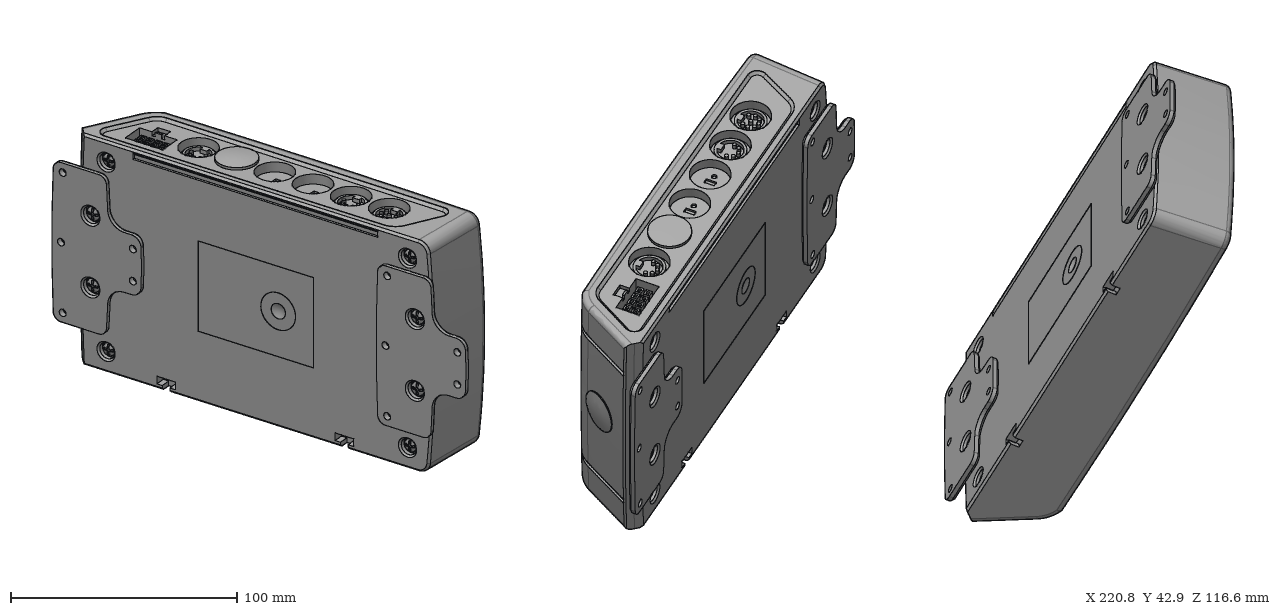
import cadquery as cq
import math

total_length = 220.79
total_depth = 42.88
total_height = 116.57
cap_rise = 0.57

case_half_height = (total_height - cap_rise) / 2
front_y = 3.1
nose_x = -101.6
nose_y = 10.1
nose_land = 1.2
under_nose = (-99.2, 6.2)
front_left_x = -96.4
slant_top = (-88.0, 34.2)
shoulder_mid = (-81.9, 40.4)
back_left = (-73.4, total_depth)
back_crown_x = -18.0
back_crown_radius = 3300.0
left_bulge_radius = 1250.0
right_bulge_radius = 540.0
right_front_x = 91.2
right_back_x = 94.6
corner_radius = 6.0
back_edge_radius = 3.0
front_edge_chamfer = 1.1
sweep_angle = 30.0

groove_z = 39.8
groove_width = 2.2
groove_depth = 1.2

plate_thickness = 3.2
plate_chamfer = 1.2
plate_z = 2.1
plate_half_height = 40.0
plate_pitch = 173.0
plate_left_x = -total_length / 2
plate_end_x = plate_left_x + 0.9
plate_shoulder_x = -81.4
plate_neck_x = -80.6
plate_tab_x = plate_left_x + total_length - plate_pitch
plate_tab_end_x = plate_tab_x - 0.5
tab_half_height = 15.0
neck_radius = 9.0
plate_corner_radius = 4.2
tab_corner_radius = 5.0
corner_reach = 1.0
plate_hole_diameter = 3.6
plate_holes = [(-104.6, 35.2), (-104.6, -35.2), (-105.5, 0.0), (-67.2, 8.05), (-67.2, -8.05)]
plate_screw_x = -89.8
plate_screw_offset = 18.0
plate_screw_diameter = 10.2

case_screw_xs = (-83.5, 77.2)
case_screw_z = 47.5
case_screw_diameter = 9.7
screw_seat_depth = 3.0
screw_bevel = 0.9
screw_head_height = 1.6
screw_head_clearance = 1.5
screw_cross_width = 1.0

label_x_range = (-34.4, 27.1)
label_height = 45.3
label_depth = 0.15
dimple_x = 8.1
dimple_ring_diameter = 18.5
dimple_diameter = 7.6
dimple_depth = 0.9

slit_x_range = (-69.2, 61.2)
slit_z_range = (53.2, 56.3)
slit_depth = 1.2

keyhole_xs = (-51.5, 43.5)
keyhole_width = 9.8
keyhole_top_z = -51.8
keyhole_neck_z = -55.6
keyhole_neck_width = 4.0
keyhole_depth = 5.0

recess_depth = 1.5
recess_lip = 0.1
recess_slope = 1.3
recess_corners = [
    (-94.9, 7.0, 4.6),
    (67.5, 7.0, 9.3),
    (82.7, 35.2, 4.6),
    (-78.0, 36.3, 8.0),
]
recess_floor_z = case_half_height - recess_depth

port_y = 23.4
port_pitch = 20.33
first_port_x = -47.85
port_diameter = 18.4
port_depth = 5.0
port_floor_z = recess_floor_z - port_depth
shroud_outer_diameter = 14.6
shroud_inner_diameter = 12.0
shroud_height = 2.0
shroud_key_width = 3.6
shroud_key_length = 2.2
pin_diameter = 1.8
pin_circle_radius = 3.9
five_pin_angles = (180, 225, 270, 315, 360)
eight_pin_angles = (39, 141, 186, 231, 270, 309, 354)
contact_size = (2.4, 5.0)
contact_depth = 1.0
side_contact_offset = 4.0
side_contact_diameter = 2.4

cap_diameter = 19.6
cap_dome_rise = 0.8

plug_x = -69.8
plug_y = 18.45
plug_width = 20.0
plug_height = 11.3
plug_depth = 8.0
plug_sleeve = 3.0
plug_sleeve_height = 6.0
plug_contact = 1.3
plug_pitch = 4.1
plug_columns = 4
plug_rows = 2
latch_width = 6.7
latch_height = 4.7
latch_depth = 2.0
latch_nub_width = 3.6
latch_nub_height = 1.0

button_diameter = 20.0
button_y = 26.0
button_z = 2.1
button_wall = 0.5
button_dome = 1.0
button_root = 3.0


def box(x_range, y_range, z_range):
    """Box between two limits on each axis."""
    size = [max(r) - min(r) for r in (x_range, y_range, z_range)]
    return cq.Workplane("XY").box(*size, centered=False).translate(
        (min(x_range), min(y_range), min(z_range)))


def front_cylinder(x, z, diameter, y_start, depth):
    """Cylinder that runs into the case (+Y) from y_start."""
    solid = cq.Solid.makeCylinder(diameter / 2, depth, cq.Vector(x, y_start, z), cq.Vector(0, 1, 0))
    return cq.Workplane(solid)


def top_cylinder(x, y, diameter, z_start, height):
    """Upright cylinder."""
    solid = cq.Solid.makeCylinder(diameter / 2, height, cq.Vector(x, y, z_start), cq.Vector(0, 0, 1))
    return cq.Workplane(solid)


def domed_disc(diameter, wall, rise):
    """Disc with a straight wall and a spherical top, standing on the origin along +Z."""
    radius = diameter / 2
    mid_radius = radius / 2
    sphere_radius = (radius**2 + rise**2) / (2 * rise)
    mid_height = wall + rise - sphere_radius + math.sqrt(sphere_radius**2 - mid_radius**2)
    return (
        cq.Workplane("XZ")
        .lineTo(radius, 0)
        .lineTo(radius, wall)
        .threePointArc((mid_radius, mid_height), (0, wall + rise))
        .close()
        .revolve(360, (0, 0), (0, 1))
    )


def bulged(profile, axis_x):
    """Sweep a profile in the XY plane round an axis parallel to Y, to both sides of Z = 0."""
    swept = profile.revolve(sweep_angle, (axis_x, 0), (axis_x, 1))
    return swept.rotate((axis_x, 0, 0), (axis_x, 1, 0), -sweep_angle / 2)


def left_profile():
    """Side outline of the case, running well past its right end."""
    far_x = right_back_x + corner_radius
    far_y = total_depth + corner_radius
    return (
        cq.Workplane("XY")
        .moveTo(far_x, front_y)
        .lineTo(front_left_x, front_y)
        .lineTo(*under_nose)
        .lineTo(nose_x, nose_y - nose_land)
        .lineTo(nose_x, nose_y)
        .lineTo(*slant_top)
        .threePointArc(shoulder_mid, back_left)
        .lineTo(back_left[0], far_y)
        .lineTo(far_x, far_y)
    )


def make_case():
    left = bulged(left_profile().close(), nose_x + left_bulge_radius)
    far_left_x = nose_x - corner_radius
    far_y = total_depth + corner_radius
    lean = (right_back_x - right_front_x) / (total_depth - front_y)
    right_profile = cq.Workplane("XY").polyline([
        (far_left_x, front_y),
        (right_front_x, front_y),
        (right_front_x + lean * (far_y - front_y), far_y),
        (far_left_x, far_y),
    ]).close()
    right = bulged(right_profile, right_back_x - right_bulge_radius)
    slab = box(
        (far_left_x, right_back_x + corner_radius),
        (0, far_y),
        (-case_half_height, case_half_height),
    )
    crown = cq.Workplane("XY").sphere(back_crown_radius).translate(
        (back_crown_x, total_depth - back_crown_radius, 0))
    case = slab.intersect(left).intersect(right).intersect(crown)
    case = round_case_edges(case)
    for sign in (1, -1):
        case = case.cut(make_groove(sign * groove_z))
    return case


def edges_between(x_range, y_range, z_range):
    """Selector for the edges whose centre lies within the given limits."""
    low, high = zip(x_range, y_range, z_range)
    return cq.selectors.BoxSelector(low, high)


def round_case_edges(case):
    """Round the right corners and the back rim, then bevel the front rim."""
    margin = 0.2
    full_x = (-total_length, total_length)
    full_z = (-total_height, total_height)
    right_x = (right_front_x - corner_radius, total_length)
    behind_nose = (nose_y + margin, total_depth)
    case = case.edges(edges_between(right_x, (nose_y, slant_top[1]), full_z)).fillet(corner_radius)

    top_z = (case_half_height - margin, case_half_height + margin)
    bottom_z = (-top_z[1], -top_z[0])
    back_rim = (
        edges_between(full_x, behind_nose, top_z)
        + edges_between(full_x, behind_nose, bottom_z)
        + edges_between(right_x, (total_depth - back_edge_radius, total_depth), full_z)
    )
    case = case.edges(back_rim).fillet(back_edge_radius)

    right_of_undercut = (front_left_x + corner_radius, total_length)
    front_rim = edges_between(right_of_undercut, (front_y - margin, front_y + margin), full_z)
    return case.edges(front_rim).chamfer(front_edge_chamfer)


def make_groove(z):
    """Cutter for one groove that follows the slanted left face and its shoulder."""
    z_range = (z - groove_width / 2, z + groove_width / 2)
    band = box((nose_x - corner_radius, back_left[0]), (nose_y, total_depth), z_range)
    core = bulged(left_profile().close(), nose_x + left_bulge_radius)
    return band.cut(core.translate((groove_depth, -groove_depth / 2, 0)))


def sink_screw(body, x, z, diameter, seat_y):
    """Sink a bevelled screw hole from seat_y and leave a cross-slotted screw head at its bottom."""
    inner_diameter = diameter - 2 * screw_bevel
    head_diameter = inner_diameter - screw_head_clearance
    bevel = cq.Solid.makeCone(
        diameter / 2, inner_diameter / 2, screw_bevel, cq.Vector(x, seat_y, z), cq.Vector(0, 1, 0))
    hole = front_cylinder(x, z, inner_diameter, seat_y, screw_seat_depth).union(cq.Workplane(bevel))
    head = domed_disc(head_diameter, screw_head_height / 2, screw_head_height / 2)
    half_cross = head_diameter / 2 - screw_head_clearance / 2
    half_slot = screw_cross_width / 2
    slot_z_range = (screw_head_height / 2, screw_head_height)
    head = head.cut(box((-half_cross, half_cross), (-half_slot, half_slot), slot_z_range))
    head = head.cut(box((-half_slot, half_slot), (-half_cross, half_cross), slot_z_range))
    head = head.rotate((0, 0, 0), (1, 0, 0), 90)
    return body.cut(hole.cut(head.translate((x, seat_y + screw_seat_depth, z))))


def sink_case_screws(body):
    for x in case_screw_xs:
        for z in (case_screw_z, -case_screw_z):
            body = sink_screw(body, x, z, case_screw_diameter, front_y)
    return body


def make_plate():
    """Left mounting plate: a tall web with a tab to the right, both with slightly bowed ends."""
    neck_x = plate_neck_x + neck_radius
    neck_z = tab_half_height + neck_radius
    bend = neck_radius * (1 - math.sqrt(0.5))
    outline = (
        cq.Workplane("XZ", origin=(0, plate_thickness, plate_z))
        .moveTo(plate_end_x, -plate_half_height)
        .threePointArc((plate_left_x, 0), (plate_end_x, plate_half_height))
        .lineTo(plate_shoulder_x, plate_half_height)
        .lineTo(plate_neck_x, neck_z)
        .threePointArc((plate_neck_x + bend, tab_half_height + bend), (neck_x, tab_half_height))
        .lineTo(plate_tab_end_x, tab_half_height)
        .threePointArc((plate_tab_x, 0), (plate_tab_end_x, -tab_half_height))
        .lineTo(neck_x, -tab_half_height)
        .threePointArc((plate_neck_x + bend, -tab_half_height - bend), (plate_neck_x, -neck_z))
        .lineTo(plate_shoulder_x, -plate_half_height)
        .close()
    )
    plate = outline.extrude(plate_thickness)
    neck_middle = (plate_neck_x + plate_tab_end_x) / 2
    web_x = (plate_left_x, plate_neck_x)
    tab_x = (neck_middle, plate_tab_x)
    full_y = (0, plate_thickness)
    for x_range, radius, z_reach in (
        (web_x, plate_corner_radius, plate_half_height),
        (tab_x, tab_corner_radius, tab_half_height),
    ):
        for sign in (1, -1):
            z = plate_z + sign * z_reach
            corners = edges_between(x_range, full_y, (z - corner_reach, z + corner_reach))
            plate = plate.edges("|Y").edges(corners).fillet(radius)
    plate = plate.faces(">Y").edges().chamfer(plate_chamfer)
    for x, z_offset in plate_holes:
        hole = front_cylinder(x, plate_z + z_offset, plate_hole_diameter, 0, plate_thickness)
        plate = plate.cut(hole)
    return plate


def add_plates(body):
    for shift in (0, plate_pitch):
        body = body.union(make_plate().translate((shift, 0, 0)))
        for sign in (1, -1):
            screw_z = plate_z + sign * plate_screw_offset
            body = sink_screw(body, plate_screw_x + shift, screw_z, plate_screw_diameter, 0)
    return body


def cut_label(body):
    """Shallow label panel with a ring and a dimple."""
    label_y = front_y + label_depth
    body = body.cut(box(label_x_range, (0, label_y), (-label_height / 2, label_height / 2)))
    body = body.cut(front_cylinder(dimple_x, 0, dimple_ring_diameter, label_y, label_depth))
    dimple = domed_disc(dimple_diameter, label_depth, dimple_depth).rotate((0, 0, 0), (1, 0, 0), -90)
    return body.cut(dimple.translate((dimple_x, label_y + label_depth / 2, 0)))


def cut_slit(body):
    """Long slit near the top edge of the front face, with a sloping upper wall."""
    low_z, high_z = slit_z_range
    profile = cq.Workplane("YZ", origin=(slit_x_range[0], 0, 0)).polyline([
        (front_y, low_z),
        (front_y + slit_depth, low_z),
        (front_y + slit_depth, high_z - slit_depth),
        (front_y, high_z),
    ]).close()
    return body.cut(profile.extrude(slit_x_range[1] - slit_x_range[0]))


def cut_keyholes(body):
    """T-shaped hanging slots, open at the bottom edge."""
    y_range = (0, front_y + keyhole_depth)
    for x in keyhole_xs:
        for width, z_range in (
            (keyhole_width, (keyhole_neck_z, keyhole_top_z)),
            (keyhole_neck_width, (-total_height, keyhole_top_z)),
        ):
            body = body.cut(box((x - width / 2, x + width / 2), y_range, z_range))
    return body


def cut_recess(body):
    """Shallow tray with sloping walls round all connectors."""
    points = [(x, y) for x, y, _ in recess_corners]
    tray = (
        cq.Workplane("XY", origin=(0, 0, recess_floor_z))
        .polyline(points).close().extrude(recess_depth)
    )
    for x, y, radius in recess_corners:
        corner = edges_between(
            (x - corner_reach, x + corner_reach),
            (y - corner_reach, y + corner_reach),
            (0, total_height),
        )
        tray = tray.edges("|Z").edges(corner).fillet(radius)
    tray = tray.faces("<Z").chamfer(recess_depth - recess_lip, recess_slope)
    return body.cut(tray)


def port_x(index):
    return first_port_x + index * port_pitch


def port_bore(index):
    return top_cylinder(port_x(index), port_y, port_diameter, port_floor_z, port_depth)


def pins_on_circle(angles):
    return [
        (pin_circle_radius * math.cos(math.radians(a)), pin_circle_radius * math.sin(math.radians(a)))
        for a in angles
    ]


def cut_round_socket(body, index, pin_points):
    """Bored port with a keyed shroud and contact pins on its floor."""
    x = port_x(index)
    shroud = top_cylinder(x, port_y, shroud_outer_diameter, port_floor_z, shroud_height)
    shroud = shroud.cut(top_cylinder(x, port_y, shroud_inner_diameter, port_floor_z, shroud_height))
    key_root_y = port_y + (shroud_inner_diameter + shroud_outer_diameter) / 4
    key = box(
        (x - shroud_key_width / 2, x + shroud_key_width / 2),
        (port_y + shroud_inner_diameter / 2 - shroud_key_length, key_root_y),
        (port_floor_z, port_floor_z + shroud_height),
    )
    pins = (
        cq.Workplane("XY", origin=(x, port_y, port_floor_z))
        .pushPoints(pin_points)
        .circle(pin_diameter / 2)
        .extrude(shroud_height)
    )
    return body.cut(port_bore(index).cut(shroud.union(key)).cut(pins))


def cut_contact_port(body, index):
    """Bored port whose floor has a flat contact slot and a small round socket beside it."""
    x = port_x(index)
    contact_floor = port_floor_z - contact_depth
    width, height = contact_size
    slot = box(
        (x - width / 2, x + width / 2),
        (port_y - height / 2, port_y + height / 2),
        (contact_floor, port_floor_z),
    )
    socket = top_cylinder(
        x + side_contact_offset, port_y, side_contact_diameter, contact_floor, contact_depth)
    return body.cut(port_bore(index).union(slot).union(socket))


def add_cap(body, index):
    """Domed blanking cap."""
    wall = recess_depth + cap_rise - cap_dome_rise
    cap = domed_disc(cap_diameter, wall, cap_dome_rise)
    return body.union(cap.translate((port_x(index), port_y, recess_floor_z)))


def cut_plug(body):
    """Sink the rectangular connector with a latch notch and two rows of four square sleeves."""
    x_range = (plug_x - plug_width / 2, plug_x + plug_width / 2)
    top_y = plug_y + plug_height / 2
    floor_z = recess_floor_z - plug_depth
    cavity = box(x_range, (plug_y - plug_height / 2, top_y), (floor_z, recess_floor_z))
    latch_floor_z = recess_floor_z - latch_depth
    latch = box(
        (plug_x - latch_width / 2, plug_x + latch_width / 2),
        (top_y, top_y + latch_height),
        (latch_floor_z, recess_floor_z),
    )
    nub = box(
        (plug_x - latch_nub_width / 2, plug_x + latch_nub_width / 2),
        (top_y, top_y + latch_nub_height),
        (latch_floor_z, recess_floor_z),
    )
    sleeves = (
        cq.Workplane("XY", origin=(plug_x, plug_y, floor_z))
        .rarray(plug_pitch, plug_pitch, plug_columns, plug_rows)
        .rect(plug_sleeve, plug_sleeve)
        .extrude(plug_sleeve_height)
    )
    contacts = (
        cq.Workplane("XY", origin=(plug_x, plug_y, floor_z))
        .rarray(plug_pitch, plug_pitch, plug_columns, plug_rows)
        .rect(plug_contact, plug_contact)
        .extrude(plug_sleeve_height)
    )
    opening = cavity.cut(sleeves.cut(contacts)).union(latch.cut(nub))
    return body.cut(opening)


def add_button(body):
    """Round domed button standing square to the slanted left face."""
    run = slant_top[0] - nose_x
    rise = slant_top[1] - nose_y
    face_x = nose_x + (button_y - nose_y) * run / rise
    tilt = math.degrees(math.atan2(run, rise))
    button = domed_disc(button_diameter, button_root + button_wall, button_dome)
    button = button.translate((0, 0, -button_root))
    button = button.rotate((0, 0, 0), (0, 1, 0), -90).rotate((0, 0, 0), (0, 0, 1), -tilt)
    return body.union(button.translate((face_x, button_y, button_z)))


def make_part():
    body = make_case()
    body = sink_case_screws(body)
    body = cut_label(body)
    body = cut_slit(body)
    body = cut_keyholes(body)
    body = cut_recess(body)
    body = cut_plug(body)
    five_pins = pins_on_circle(five_pin_angles)
    eight_pins = pins_on_circle(eight_pin_angles) + [(0, 0)]
    body = cut_round_socket(body, 0, five_pins)
    body = add_cap(body, 1)
    body = cut_contact_port(body, 2)
    body = cut_contact_port(body, 3)
    body = cut_round_socket(body, 4, five_pins)
    body = cut_round_socket(body, 5, eight_pins)
    body = add_button(body)
    return add_plates(body)


result = make_part()